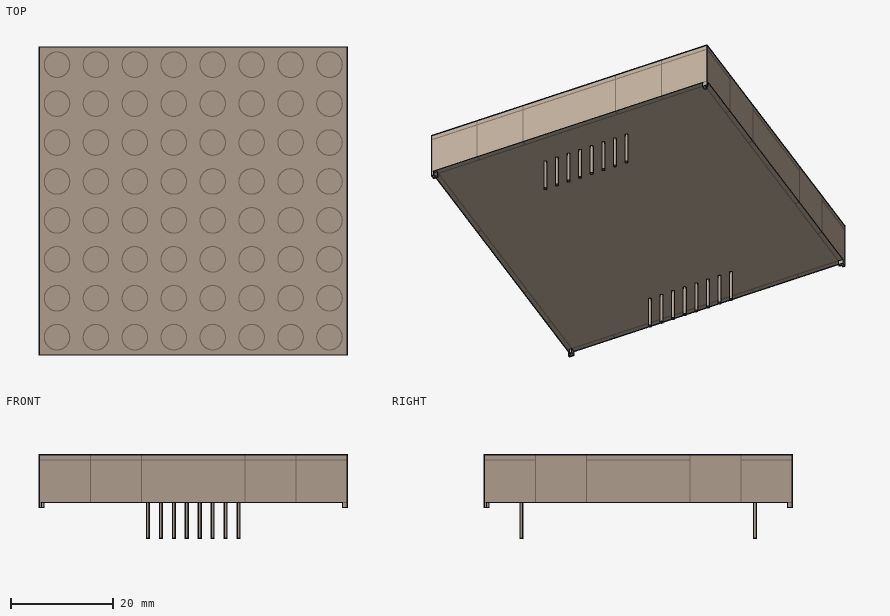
import cadquery as cq

WIDTH = 60.35
HEIGHT = 16.4
PIN_LENGTH = 7.0
HOUSING_BOTTOM = PIN_LENGTH

PANEL_MARGIN = 0.1
PANEL_THICKNESS = 1.0
PLATE_HEIGHT = 1.0
PANEL_TOP = HEIGHT - PANEL_MARGIN
PLATE_BOTTOM = PANEL_TOP - PLATE_HEIGHT
PANEL_LIMIT = WIDTH / 2 - PANEL_MARGIN
KEY_INNER_EDGE = 10.15
KEY_WIDTH = 10.0
KEY_OUTER_EDGE = KEY_INNER_EDGE + KEY_WIDTH
KEY_PANELS = (1, 3)
WALLS = 4

WINDOW_DIAMETER = 5.0
WINDOW_PITCH = 7.62
WINDOWS_PER_SIDE = 8
WINDOW_DEPTH = 1.0

PIN_DIAMETER = 0.6
PIN_PITCH = 2.54
PINS_PER_ROW = 8
PIN_ROW_SPACING = 45.72

FOOT_WIDTH = 1.0
FOOT_HEIGHT = 1.0
FOOT_NOTCH = FOOT_WIDTH / 2


def turned(solid, quarter_turns):
    """The solid turned about the Z axis by a number of quarter turns."""
    return solid.rotate((0, 0, 0), (0, 0, 1), 360 / WALLS * quarter_turns)


def front_panel(left, right, bottom, top):
    """Block set into the -Y wall, with its outer face flush with the wall."""
    wall = -WIDTH / 2
    return cq.Workplane("XY").box(
        right - left, PANEL_THICKNESS, top - bottom, centered=False
    ).translate((left, wall, bottom))


def wall_panels(split_keys):
    """Five panels along the -Y wall; the two key panels may be split at the face plate or not."""
    right_edges = [KEY_INNER_EDGE, KEY_OUTER_EDGE, PANEL_LIMIT]
    edges = [-edge for edge in reversed(right_edges)] + right_edges
    panels = []
    for number, (left, right) in enumerate(zip(edges, edges[1:])):
        if number in KEY_PANELS and not split_keys:
            panels.append(front_panel(left, right, HOUSING_BOTTOM, PANEL_TOP))
        else:
            panels.append(front_panel(left, right, HOUSING_BOTTOM, PLATE_BOTTOM))
            panels.append(front_panel(left, right, PLATE_BOTTOM, PANEL_TOP))
    return panels


def windows():
    """Grid of round windows, ending flush with the top face."""
    return (
        cq.Workplane("XY")
        .workplane(offset=HEIGHT - WINDOW_DEPTH)
        .rarray(WINDOW_PITCH, WINDOW_PITCH, WINDOWS_PER_SIDE, WINDOWS_PER_SIDE)
        .circle(WINDOW_DIAMETER / 2)
        .extrude(WINDOW_DEPTH)
    )


def pins():
    """Both rows of round pins, from the pin tips up to the housing."""
    return (
        cq.Workplane("XY")
        .rarray(PIN_PITCH, PIN_ROW_SPACING, PINS_PER_ROW, 2)
        .circle(PIN_DIAMETER / 2)
        .extrude(PIN_LENGTH)
    )


def foot():
    """Square foot under the (-X, -Y) corner, notched on its +X, -Y quarter."""
    corner = WIDTH / 2
    return (
        cq.Workplane("XY")
        .workplane(offset=HOUSING_BOTTOM - FOOT_HEIGHT)
        .moveTo(-corner, -corner)
        .hLine(FOOT_WIDTH - FOOT_NOTCH)
        .vLine(FOOT_NOTCH)
        .hLine(FOOT_NOTCH)
        .vLine(FOOT_WIDTH - FOOT_NOTCH)
        .hLine(-FOOT_WIDTH)
        .close()
        .extrude(FOOT_HEIGHT)
    )


housing = (
    cq.Workplane("XY")
    .workplane(offset=HOUSING_BOTTOM)
    .rect(WIDTH, WIDTH)
    .extrude(HEIGHT - HOUSING_BOTTOM)
)

for turn in range(WALLS):
    for panel in wall_panels(split_keys=turn % 2 == 0):
        housing = housing.union(turned(panel, turn), clean=False)
housing = housing.union(windows(), clean=False)
housing = housing.union(pins(), clean=False)
for turn in range(WALLS):
    housing = housing.union(turned(foot(), turn), clean=False)

result = housing